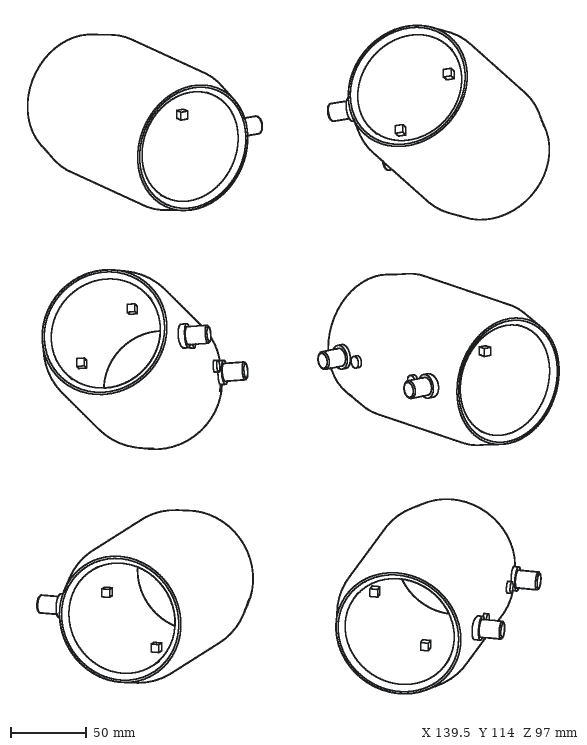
import cadquery as cq

length = 139.5
outer_radius = 97.0 / 2
end_radius = 43.0
bore_radius = 75.0 / 2
taper_length = 23.2
lead_in_radius = 41.5
lead_in_depth = 3.3

terminal_x = length / 2 - taper_length
terminal_tip_y = 65.5
terminal_diameter = 12.0
terminal_chamfer = 1.0
collar_diameter = 16.0
indicator_x = 30.5
indicator_diameter = 8.0
seat_y = 50.9
root_y = (bore_radius + outer_radius) / 2

stop_count = 4
stop_width = 5.5
stop_tip_radius = 32.1


def make_sleeve():
    """Revolve the wall section: tapered outside, conical lead-in at each mouth."""
    half_length = length / 2
    shoulder_x = half_length - taper_length
    lead_in_x = half_length - lead_in_depth
    return (
        cq.Workplane("XY")
        .moveTo(-half_length, lead_in_radius)
        .lineTo(-half_length, end_radius)
        .lineTo(-shoulder_x, outer_radius)
        .lineTo(shoulder_x, outer_radius)
        .lineTo(half_length, end_radius)
        .lineTo(half_length, lead_in_radius)
        .lineTo(lead_in_x, bore_radius)
        .lineTo(-lead_in_x, bore_radius)
        .close()
        .revolve(360, (0, 0, 0), (1, 0, 0))
    )


def make_boss(x, diameter, top_y):
    """Cylinder along +Y, from inside the sleeve wall out to top_y."""
    return (
        cq.Workplane("XZ", origin=(x, root_y, 0))
        .circle(diameter / 2)
        .extrude(root_y - top_y)
    )


def make_terminal(x):
    """Contact pin with a chamfered tip and a wider collar at its base."""
    pin = make_boss(x, terminal_diameter, terminal_tip_y).faces(">Y").chamfer(terminal_chamfer)
    return pin.union(make_boss(x, collar_diameter, seat_y))


def make_stop(angle):
    """Square block reaching from the sleeve wall into the bore."""
    stop_height = root_y - stop_tip_radius
    return (
        cq.Workplane("XY")
        .box(stop_width, stop_width, stop_height)
        .translate((0, 0, (root_y + stop_tip_radius) / 2))
        .rotate((0, 0, 0), (1, 0, 0), angle)
    )


result = make_sleeve()
for side in (-1, 1):
    result = result.union(make_terminal(side * terminal_x))
    result = result.union(make_boss(side * indicator_x, indicator_diameter, seat_y))
for index in range(stop_count):
    result = result.union(make_stop(index * 360 / stop_count))